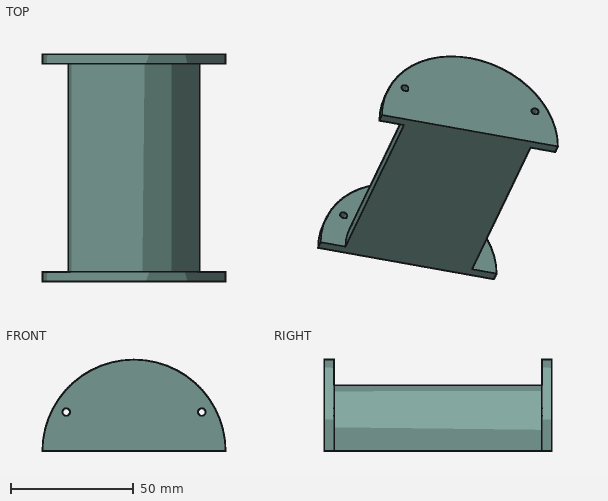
import cadquery as cq

length = 93.0
flange_radius = 37.5
flange_thickness = 4.0
core_radius = 27.0

hole_diameter = 3.0
hole_circle_radius = 32.0
hole_elevation_angle = 30.0


def half_disc(radius, thickness, start_y):
    """Half disc above Z = 0, extruded along +Y from start_y."""
    return (
        cq.Workplane("XZ", origin=(0, start_y, 0))
        .moveTo(-radius, 0)
        .threePointArc((0, radius), (radius, 0))
        .close()
        .extrude(-thickness)
    )


front_y = -length / 2
back_flange_y = length / 2 - flange_thickness

core = half_disc(core_radius, length, front_y)
front_flange = half_disc(flange_radius, flange_thickness, front_y)
back_flange = half_disc(flange_radius, flange_thickness, back_flange_y)

holes = (
    cq.Workplane("XZ", origin=(0, front_y, 0))
    .polarArray(
        hole_circle_radius,
        hole_elevation_angle,
        180 - 2 * hole_elevation_angle,
        2,
    )
    .circle(hole_diameter / 2)
    .extrude(-length)
)

result = core.union(front_flange).union(back_flange).cut(holes)